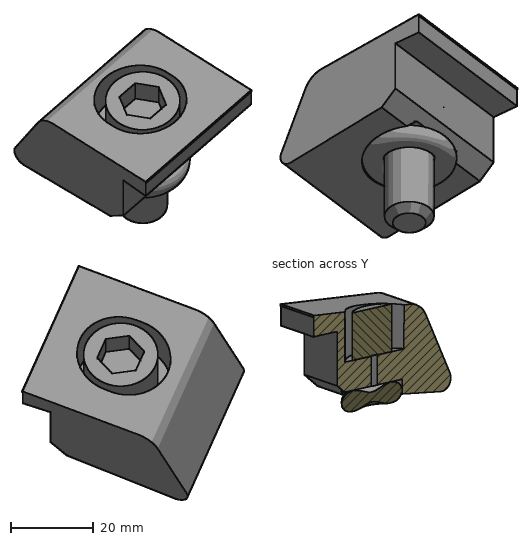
import cadquery as cq
import math


width = 38.35
top_z = 43.55
lip_x = 18.15
nose_bulge = 0.17
nose_height = 0.52
lip_underside_z = 38.05
wall_x = 10.93
chamfer_top_z = 24.4
chamfer_bottom_x = 6.65
heel_x = -24.7
heel_bottom_z = 16.98
heel_radius = 3.0
shoulder_radius = 6.25
top_slope = math.tan(math.radians(5))
bottom_slope = math.tan(math.radians(7.5))
back_angle = math.radians(65)

shank_diameter = 12.0
head_diameter = 18.0
head_height = shank_diameter
head_top_z = 42.0
head_bottom_z = head_top_z - head_height
tip_chamfer = 2.0
socket_flats = 10.0
socket_depth = 6.0

ring_outer_radius = 11.5
ring_section_radius = 2.65
ring_centre_radius = ring_outer_radius - ring_section_radius
ring_z = 19.65

slot_shift = 1.55
counterbore_diameter = 21.25
passage_diameter = 13.05


def block_profile():
    """Sharp-cornered side outline in XZ, apart from the rounded nose."""
    heel_centre_x = heel_x + heel_radius
    heel_centre_z = heel_bottom_z + heel_radius
    bottom_angle = math.atan(bottom_slope)
    back_slope = math.tan(back_angle)

    bottom_z0 = heel_centre_z - heel_radius / math.cos(bottom_angle) - bottom_slope * heel_centre_x
    back_z0 = heel_centre_z + heel_radius / math.cos(back_angle) - back_slope * heel_centre_x
    top_z0 = top_z - top_slope * lip_x

    heel_corner_x = (bottom_z0 - back_z0) / (back_slope - bottom_slope)
    shoulder_corner_x = (top_z0 - back_z0) / (back_slope - top_slope)
    return (
        cq.Workplane("XZ", origin=(0, width / 2, 0))
        .moveTo(lip_x, top_z)
        .lineTo(shoulder_corner_x, back_z0 + back_slope * shoulder_corner_x)
        .lineTo(heel_corner_x, back_z0 + back_slope * heel_corner_x)
        .lineTo(chamfer_bottom_x, bottom_z0 + bottom_slope * chamfer_bottom_x)
        .lineTo(wall_x, chamfer_top_z)
        .lineTo(wall_x, lip_underside_z)
        .lineTo(lip_x, lip_underside_z)
        .lineTo(lip_x, top_z - nose_height)
        .threePointArc((lip_x + nose_bulge, top_z - nose_height / 2), (lip_x, top_z))
        .close()
    )


def vertical_slot(diameter, bottom_z, height):
    """Slot cutter reaching from the screw axis toward -X."""
    return (
        cq.Workplane("XY", origin=(-slot_shift / 2, 0, bottom_z))
        .slot2D(diameter + slot_shift, diameter)
        .extrude(height)
    )


def make_clamp():
    block = block_profile().extrude(width)
    block = block.edges("|Y").edges("<X").fillet(heel_radius)
    shoulder_selector = cq.selectors.BoxSelector(
        (heel_x, -width, lip_underside_z), (0, width, top_z)
    )
    block = block.edges("|Y").edges(shoulder_selector).fillet(shoulder_radius)

    counterbore = vertical_slot(counterbore_diameter, head_bottom_z, head_height + top_z)
    passage = vertical_slot(passage_diameter, 0, top_z)
    ring_recess = (
        cq.Workplane("XY")
        .circle(ring_outer_radius)
        .extrude(ring_z + ring_section_radius)
    )
    return block.cut(counterbore).cut(passage).cut(ring_recess)


def make_screw():
    shank = (
        cq.Workplane("XY")
        .circle(shank_diameter / 2)
        .extrude(head_bottom_z)
        .faces("<Z")
        .chamfer(tip_chamfer)
    )
    head = (
        cq.Workplane("XY", origin=(0, 0, head_bottom_z))
        .circle(head_diameter / 2)
        .extrude(head_height)
    )
    socket = (
        cq.Workplane("XY", origin=(0, 0, head_top_z))
        .polygon(6, socket_flats, circumscribed=True)
        .extrude(-socket_depth)
    )
    return shank.union(head).cut(socket)


def make_ring():
    return cq.Workplane(
        obj=cq.Solid.makeTorus(ring_centre_radius, ring_section_radius, cq.Vector(0, 0, ring_z))
    )


clamp = make_clamp()
screw = make_screw()
ring = make_ring()

result = cq.Compound.makeCompound([clamp.val(), screw.val(), ring.val()])